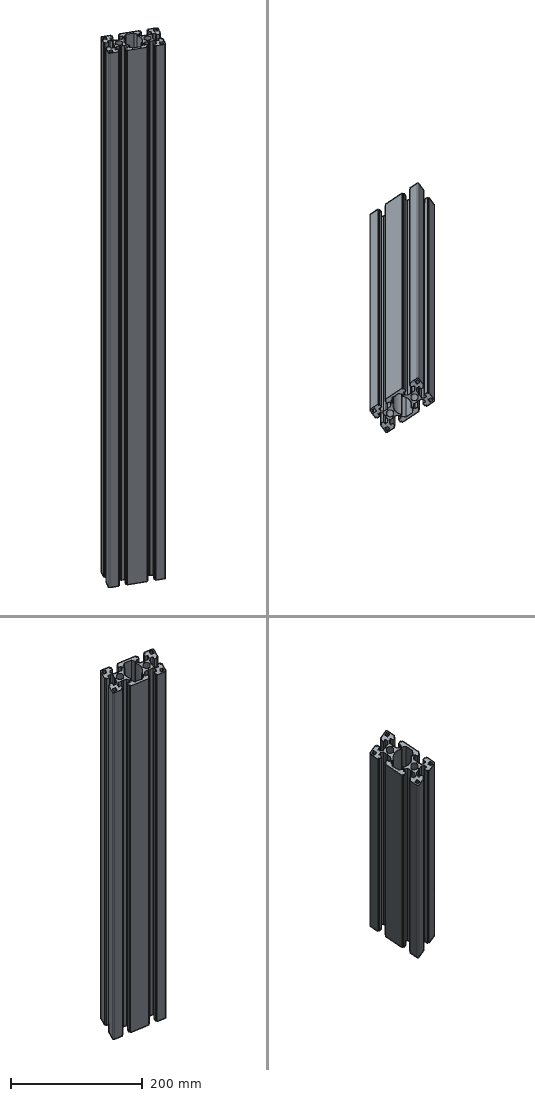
import cadquery as cq
import math

LENGTH = 1000
MODULE = 45.0
WIDTH = MODULE
DEPTH = 2 * MODULE
CORE_OFFSET = MODULE / 2
CORNER_RADIUS = 2.0

SLOT_DEPTH = 14.0
SLOT_OPENING = 10.0
MOUTH_WIDTH = 14.0
MOUTH_DEPTH = 2.0
LIP_THICKNESS = 7.0
CHAMBER_HALF_WIDTH = 9.5
FLOOR_WIDTH = 13.0
GROOVE_WIDTH = 3.0
GROOVE_DEPTH = 1.0

CORE_HOLE_DIAMETER = 11.0
CORNER_HOLE_SIZE = 5.0
CORNER_HOLE_INSET = 5.0

BORE_RADIUS = 14.0
SIDE_WALL = 4.0
RIB_TIP_WIDTH = 1.0
RIB_TIP_Y = 9.0
POCKET_TOP_Y = 11.0
POCKET_CHAMFER = 5.0


def t_slot_cutter():
    """T-slot for a module centred on the origin, opening towards +X."""
    face = MODULE / 2
    floor = face - SLOT_DEPTH
    taper = CHAMBER_HALF_WIDTH - FLOOR_WIDTH / 2
    lip = face - LIP_THICKNESS
    step = face - MOUTH_DEPTH
    upper_half = [
        (floor, GROOVE_WIDTH / 2),
        (floor, FLOOR_WIDTH / 2),
        (floor + taper, CHAMBER_HALF_WIDTH),
        (lip, CHAMBER_HALF_WIDTH),
        (lip, SLOT_OPENING / 2),
        (step, SLOT_OPENING / 2),
        (step, MOUTH_WIDTH / 2),
        (face, MOUTH_WIDTH / 2),
    ]
    lower_half = [(x, -y) for x, y in reversed(upper_half)]
    groove_bottom = (floor - GROOVE_DEPTH, 0)
    outline = [groove_bottom] + upper_half + lower_half
    return cq.Workplane("XY").polyline(outline).close().extrude(LENGTH)


def central_cavity():
    """Round bore flanked by two side pockets, with thin ribs left between them."""
    bore_x = math.sqrt(BORE_RADIUS**2 - RIB_TIP_Y**2)
    tip_x = bore_x + RIB_TIP_WIDTH
    wall_x = WIDTH / 2 - SIDE_WALL
    upper_right = [
        (wall_x, POCKET_TOP_Y - POCKET_CHAMFER),
        (wall_x - POCKET_CHAMFER, POCKET_TOP_Y),
        (tip_x, POCKET_TOP_Y),
        (tip_x, RIB_TIP_Y),
        (bore_x, RIB_TIP_Y),
    ]
    right_side = [(x, -y) for x, y in reversed(upper_right)] + upper_right
    left_side = [(-x, -y) for x, y in right_side]

    outline = cq.Workplane("XY").moveTo(*right_side[0])
    for point in right_side[1:]:
        outline = outline.lineTo(*point)
    outline = outline.threePointArc((0, BORE_RADIUS), left_side[0])
    for point in left_side[1:]:
        outline = outline.lineTo(*point)
    outline = outline.threePointArc((0, -BORE_RADIUS), right_side[0])
    return outline.close().extrude(LENGTH)


def core_holes():
    return (
        cq.Workplane("XY")
        .pushPoints([(0, CORE_OFFSET), (0, -CORE_OFFSET)])
        .circle(CORE_HOLE_DIAMETER / 2)
        .extrude(LENGTH)
    )


def corner_holes():
    spacing_x = WIDTH - 2 * CORNER_HOLE_INSET
    spacing_y = DEPTH - 2 * CORNER_HOLE_INSET
    return (
        cq.Workplane("XY")
        .rect(spacing_x, spacing_y, forConstruction=True)
        .vertices()
        .rect(CORNER_HOLE_SIZE, CORNER_HOLE_SIZE)
        .extrude(LENGTH)
    )


bar = cq.Workplane("XY").rect(WIDTH, DEPTH).extrude(LENGTH)
bar = bar.edges("|Z").fillet(CORNER_RADIUS)

slot = t_slot_cutter()
for side in (1, -1):
    for angle in (0, 180, side * 90):
        turned_slot = slot.rotate((0, 0, 0), (0, 0, 1), angle)
        bar = bar.cut(turned_slot.translate((0, side * CORE_OFFSET, 0)))

result = bar.cut(central_cavity()).cut(core_holes()).cut(corner_holes())